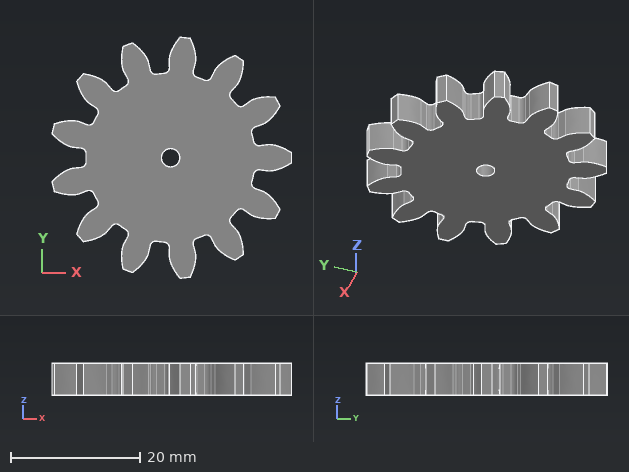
import cadquery as cq
import math

tooth_count = 13
tip_diameter = 37.5
pressure_angle = math.radians(20)
thickness = 5.0
bore_diameter = 2.8
dedendum_in_modules = 1.25
root_fillet = 0.82
flank_steps = 6

module = tip_diameter / (tooth_count + 2)
tip_radius = tip_diameter / 2
pitch_radius = module * tooth_count / 2
root_radius = pitch_radius - dedendum_in_modules * module
base_radius = pitch_radius * math.cos(pressure_angle)
tooth_pitch = 2 * math.pi / tooth_count


def involute(angle):
    return math.tan(angle) - angle


base_half_angle = tooth_pitch / 4 + involute(pressure_angle)

fillet_center_radius = root_radius + root_fillet
fillet_half_angle = base_half_angle + math.asin(root_fillet / fillet_center_radius)
fillet_top_radius = math.sqrt(fillet_center_radius**2 - root_fillet**2)


def polar(radius, angle):
    return (radius * math.cos(angle), radius * math.sin(angle))


def flank_points(tooth_angle, side):
    """Points up one involute flank, base to tip; side is -1 or +1 about the tooth axis."""
    points = []
    for step in range(flank_steps + 1):
        radius = base_radius + (tip_radius - base_radius) * step / flank_steps
        half_angle = base_half_angle - involute(math.acos(base_radius / radius))
        points.append(polar(radius, tooth_angle + side * half_angle))
    return points


def fillet_points(tooth_angle, side):
    """Root end, middle and flank end of one root fillet."""
    center_angle = tooth_angle + side * fillet_half_angle
    center_x, center_y = polar(fillet_center_radius, center_angle)
    toward_axis = center_angle - side * math.pi
    toward_flank = tooth_angle + side * (base_half_angle - math.pi / 2)
    middle_x, middle_y = polar(root_fillet, (toward_axis + toward_flank) / 2)
    return (
        polar(root_radius, center_angle),
        (center_x + middle_x, center_y + middle_y),
        polar(fillet_top_radius, tooth_angle + side * base_half_angle),
    )


def add_tooth(outline, tooth_angle):
    """Extend the outline from the root before a tooth, over it, to the start of the next one."""
    _, fillet_middle, fillet_top = fillet_points(tooth_angle, -1)
    rising = flank_points(tooth_angle, -1)
    outline = outline.threePointArc(fillet_middle, fillet_top).lineTo(*rising[0])
    outline = outline.spline(rising[1:], includeCurrent=True)

    falling = flank_points(tooth_angle, 1)[::-1]
    outline = outline.lineTo(*falling[0]).spline(falling[1:], includeCurrent=True)
    fillet_root, fillet_middle, fillet_top = fillet_points(tooth_angle, 1)
    outline = outline.lineTo(*fillet_top).threePointArc(fillet_middle, fillet_root)

    gap_middle = polar(root_radius, tooth_angle + tooth_pitch / 2)
    next_root = polar(root_radius, tooth_angle + tooth_pitch - fillet_half_angle)
    return outline.threePointArc(gap_middle, next_root)


outline = cq.Workplane("XY").moveTo(*polar(root_radius, -fillet_half_angle))
for tooth in range(tooth_count):
    outline = add_tooth(outline, tooth * tooth_pitch)

gear = outline.close().extrude(thickness)
result = gear.faces(">Z").workplane().hole(bore_diameter)